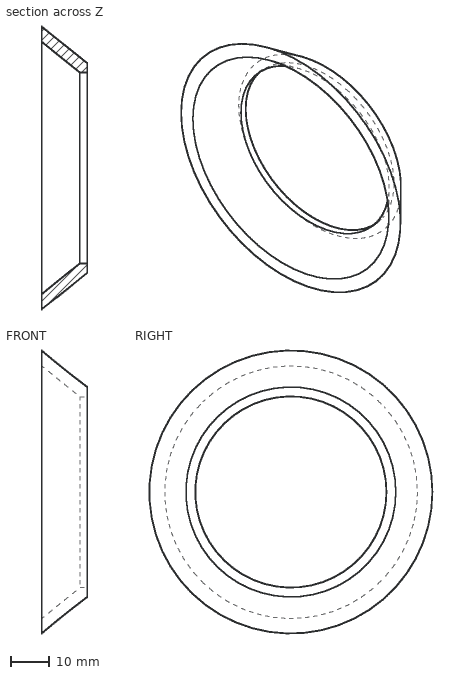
import cadquery as cq

length = 12.0
outer_large_diameter = 74.2
outer_small_diameter = 55.0
bore_large_diameter = 66.2
bore_small_diameter = 50.0
land_length = 2.0

bore_cone_length = length - land_length

profile = [
    (0, bore_large_diameter / 2),
    (0, outer_large_diameter / 2),
    (length, outer_small_diameter / 2),
    (length, bore_small_diameter / 2),
    (bore_cone_length, bore_small_diameter / 2),
]

result = cq.Workplane("XY").polyline(profile).close().revolve(360, (0, 0, 0), (1, 0, 0))